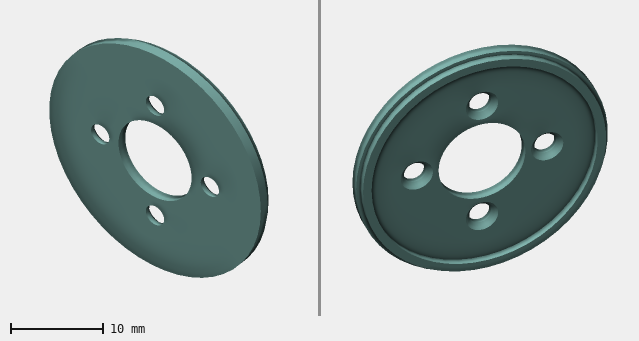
import cadquery as cq

PLATE_DIAMETER = 29.0
PLATE_THICKNESS = 1.2
RIM_OUTER_DIAMETER = 28.0
RIM_WIDTH = 1.0
RIM_THICKNESS = 0.8
BORE_DIAMETER = 10.0
BOLT_HOLE_DIAMETER = 2.5
COUNTERSINK_DEPTH = 0.6
BOLT_CIRCLE_RADIUS = 7.5
BOLT_HOLE_COUNT = 4

RIM_INNER_DIAMETER = RIM_OUTER_DIAMETER - 2 * RIM_WIDTH
TOTAL_THICKNESS = PLATE_THICKNESS + RIM_THICKNESS
FRONT_FACE_Y = -TOTAL_THICKNESS / 2
JOINT_Y = FRONT_FACE_Y + PLATE_THICKNESS


def washer(outer_diameter, inner_diameter, thickness, start_y):
    """Flat washer centred on the Y axis, extending from start_y towards +Y."""
    plane = cq.Workplane("XZ", origin=(0, start_y, 0))
    return plane.circle(outer_diameter / 2).circle(inner_diameter / 2).extrude(-thickness)


def make_bolt_hole():
    """Cutter for one bolt hole on the Y axis, countersunk at 90 degrees from the back of the plate."""
    hole_radius = BOLT_HOLE_DIAMETER / 2
    sink_radius = hole_radius + COUNTERSINK_DEPTH
    half_profile = [
        (0, FRONT_FACE_Y),
        (hole_radius, FRONT_FACE_Y),
        (hole_radius, JOINT_Y - COUNTERSINK_DEPTH),
        (sink_radius, JOINT_Y),
        (0, JOINT_Y),
    ]
    return cq.Workplane("XY").polyline(half_profile).close().revolve(360, (0, 0, 0), (0, 1, 0))


def make_plate():
    """Round plate with a centre bore and a ring of countersunk bolt holes."""
    plate_body = washer(PLATE_DIAMETER, BORE_DIAMETER, PLATE_THICKNESS, FRONT_FACE_Y)
    bolt_hole = make_bolt_hole().translate((BOLT_CIRCLE_RADIUS, 0, 0))
    for index in range(BOLT_HOLE_COUNT):
        angle = index * 360 / BOLT_HOLE_COUNT
        plate_body = plate_body.cut(bolt_hole.rotate((0, 0, 0), (0, 1, 0), angle))
    return plate_body


def make_rim():
    """Narrow ring seated flat on the back of the plate, clear of all its holes."""
    return washer(RIM_OUTER_DIAMETER, RIM_INNER_DIAMETER, RIM_THICKNESS, JOINT_Y)


plate = make_plate()
rim = make_rim()

result = cq.Compound.makeCompound([plate.val(), rim.val()])